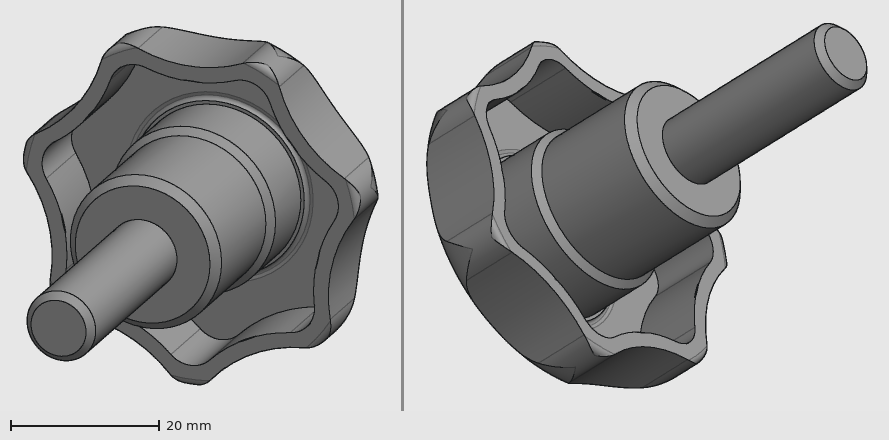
import cadquery as cq
import math


LOBE_COUNT = 7
FIRST_LOBE_ANGLE = -90.0

HEAD_RADIUS = 25.0
HEAD_HEIGHT = 15.0
DOME_RADIUS = 70.0
SHOULDER_RADIUS = 8.0
RIM_ROUND = 1.0
LOBE_RADIUS = 4.0
SCALLOP_RADIUS = 20.0

POCKET_DEPTH = 10.5
POCKET_TIP_RADIUS = 22.0
POCKET_LOBE_RADIUS = 4.0
POCKET_SCALLOP_RADIUS = 20.0
MOUTH_RADIUS = 19.0
MOUTH_DEPTH = 0.2

HUB_RADIUS = 11.0
HUB_LENGTH = 17.0
HUB_CHAMFER = 1.2
HUB_BASE_RADIUS = 12.0
HUB_STEP = HUB_BASE_RADIUS - HUB_RADIUS

COLLAR_RADIUS = 12.5
COLLAR_FILLET = 0.6
DISH_RADIUS = 13.6
DISH_DEPTH = 0.12

STUD_RADIUS = 5.0
STUD_LENGTH = 30.0
STUD_CHAMFER = 1.0


def polar(radius, angle):
    """Point at a radius and an angle in degrees."""
    return (radius * math.cos(math.radians(angle)), radius * math.sin(math.radians(angle)))


def lobed_prism(tip_radius, lobe_radius, scallop_radius, depth):
    """Prism from the rim plane towards +Y; convex lobes run tangentially into concave scallops."""
    half_pitch = 180.0 / LOBE_COUNT
    lobe_centre = tip_radius - lobe_radius
    along = lobe_centre * math.cos(math.radians(half_pitch))
    across = lobe_centre * math.sin(math.radians(half_pitch))
    rise = math.sqrt((lobe_radius + scallop_radius) ** 2 - across**2)
    scallop_bottom = along + rise - scallop_radius

    share = lobe_radius / (lobe_radius + scallop_radius)
    tangent_along = along + rise * share
    tangent_across = across * (1 - share)
    tangent_radius = math.hypot(tangent_along, tangent_across)
    tangent_angle = half_pitch - math.degrees(math.atan2(tangent_across, tangent_along))

    outline = cq.Workplane("XZ").moveTo(*polar(tangent_radius, FIRST_LOBE_ANGLE - tangent_angle))
    for index in range(LOBE_COUNT):
        angle = FIRST_LOBE_ANGLE + 2 * half_pitch * index
        next_angle = angle + 2 * half_pitch
        outline = outline.threePointArc(
            polar(tip_radius, angle), polar(tangent_radius, angle + tangent_angle)
        )
        outline = outline.threePointArc(
            polar(scallop_bottom, angle + half_pitch),
            polar(tangent_radius, next_angle - tangent_angle),
        )
    return outline.close().extrude(-depth)


def revolved(profile):
    """Turn a closed (radius, Y) profile about the Y axis."""
    return profile.close().revolve(360, (0, 0, 0), (0, 1, 0))


def head_envelope():
    """Domed disc with a rounded shoulder and a rounded rim edge."""
    shoulder_x = HEAD_RADIUS - SHOULDER_RADIUS
    dome_y = HEAD_HEIGHT - DOME_RADIUS
    shoulder_y = dome_y + math.sqrt((DOME_RADIUS - SHOULDER_RADIUS) ** 2 - shoulder_x**2)
    lean = math.asin(shoulder_x / (DOME_RADIUS - SHOULDER_RADIUS))
    shoulder_mid = (lean + math.pi / 2) / 2

    def arc_point(centre, radius, angle_from_axis):
        return (
            centre[0] + radius * math.sin(angle_from_axis),
            centre[1] + radius * math.cos(angle_from_axis),
        )

    dome_centre = (0, dome_y)
    shoulder_centre = (shoulder_x, shoulder_y)
    rim_centre = (HEAD_RADIUS - RIM_ROUND, RIM_ROUND)
    return revolved(
        cq.Workplane("XY")
        .lineTo(rim_centre[0], 0)
        .threePointArc(
            arc_point(rim_centre, RIM_ROUND, math.radians(135)), (HEAD_RADIUS, RIM_ROUND)
        )
        .lineTo(HEAD_RADIUS, shoulder_y)
        .threePointArc(
            arc_point(shoulder_centre, SHOULDER_RADIUS, shoulder_mid),
            arc_point(dome_centre, DOME_RADIUS, lean),
        )
        .threePointArc(arc_point(dome_centre, DOME_RADIUS, lean / 2), (0, HEAD_HEIGHT))
    )


def dish():
    """Shallow conical ring sunk into the pocket floor; its flat bottom meets the collar fillet."""
    return revolved(
        cq.Workplane("XY")
        .moveTo(0, POCKET_DEPTH)
        .lineTo(DISH_RADIUS, POCKET_DEPTH)
        .lineTo(COLLAR_RADIUS + COLLAR_FILLET, POCKET_DEPTH + DISH_DEPTH)
        .lineTo(0, POCKET_DEPTH + DISH_DEPTH)
    )


def hub_and_stud():
    """Stud, hub, stepped hub base and filleted collar in one turned profile."""
    stud_end = -HUB_LENGTH - STUD_LENGTH
    dish_floor = POCKET_DEPTH + DISH_DEPTH
    collar_face = dish_floor - COLLAR_FILLET
    collar_foot = COLLAR_RADIUS + COLLAR_FILLET
    fillet_inset = COLLAR_FILLET * math.sqrt(0.5)
    return revolved(
        cq.Workplane("XY")
        .moveTo(0, stud_end)
        .lineTo(STUD_RADIUS - STUD_CHAMFER, stud_end)
        .lineTo(STUD_RADIUS, stud_end + STUD_CHAMFER)
        .lineTo(STUD_RADIUS, -HUB_LENGTH)
        .lineTo(HUB_RADIUS - HUB_CHAMFER, -HUB_LENGTH)
        .lineTo(HUB_RADIUS, -HUB_LENGTH + HUB_CHAMFER)
        .lineTo(HUB_RADIUS, 0)
        .lineTo(HUB_BASE_RADIUS, HUB_STEP)
        .lineTo(HUB_BASE_RADIUS, collar_face)
        .lineTo(COLLAR_RADIUS, collar_face)
        .threePointArc(
            (collar_foot - fillet_inset, collar_face + fillet_inset), (collar_foot, dish_floor)
        )
        .lineTo(0, dish_floor)
    )


head = head_envelope().intersect(
    lobed_prism(HEAD_RADIUS, LOBE_RADIUS, SCALLOP_RADIUS, HEAD_HEIGHT)
)
pocket = lobed_prism(POCKET_TIP_RADIUS, POCKET_LOBE_RADIUS, POCKET_SCALLOP_RADIUS, POCKET_DEPTH)
mouth = cq.Workplane("XZ").circle(MOUTH_RADIUS).extrude(-MOUTH_DEPTH)

result = head.cut(pocket).cut(mouth).cut(dish()).union(hub_and_stud())